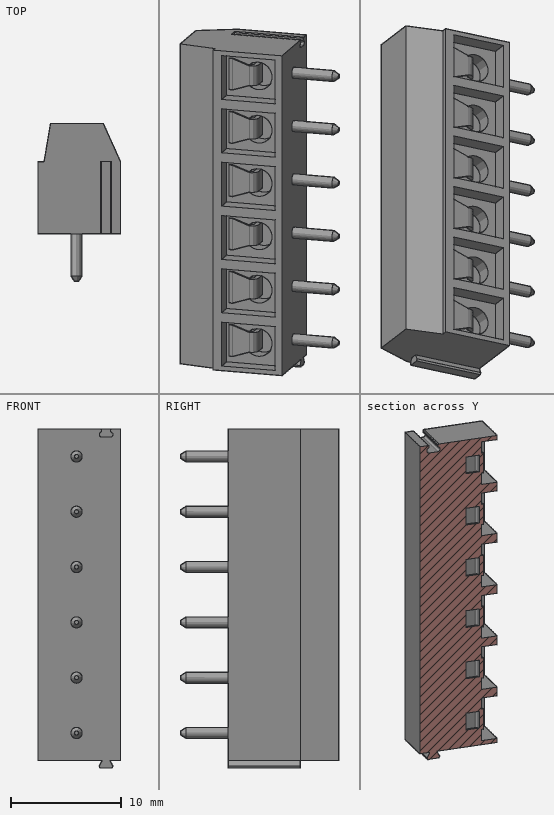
import cadquery as cq

overall_length = 30.68
pole_count = 6
pitch = 5.0
body_length = pole_count * pitch
body_width = 7.5
body_depth = 10.0

shoulder_y = 6.55
shoulder_width = 0.55
top_left_x = 1.15
top_right_x = 5.92

pin_x = 3.5
pin_diameter = 1.0
pin_length = 4.3
pin_tip_length = 0.5
pin_tip_radius = 0.18

pocket_y_min = 0.65
pocket_y_max = 5.7
pocket_height = 4.1
pocket_depth = 1.5

hole_y = 2.7
hole_radius = 1.3
hole_floor_x = 3.0

strip_rise = 0.2
strip_thickness = 0.45
strip_y_max = 5.55
strip_y_min = 2.8
bend_radius = 0.67
strip_wide = 2.95
strip_narrow = 1.85

rail_x = 6.17
rail_neck = 0.75
rail_head = 1.25
rail_foot = 1.1
rail_height = overall_length - body_length
rail_lip = 0.18
groove_neck = 0.83
groove_head = 1.23
groove_depth = 0.75
groove_mouth_chamfer = 0.1
groove_neck_depth = 0.25
groove_flare_depth = 0.43
groove_corner = 0.18


def make_body():
    """Housing block with a step on -X and sloped upper flanks."""
    outline = [
        (0, 0),
        (body_width, 0),
        (body_width, shoulder_y),
        (top_right_x, body_depth),
        (top_left_x, body_depth),
        (shoulder_width, shoulder_y),
        (0, shoulder_y),
    ]
    return cq.Workplane("XY").polyline(outline).close().extrude(body_length)


def extrude_along_y(half_outline):
    """Mirror a right-hand XZ outline about the rail axis and run it up to the shoulder."""
    right = [(rail_x + half, z) for half, z in half_outline]
    left = [(rail_x - half, z) for half, z in reversed(half_outline)]
    return cq.Workplane("XZ").polyline(right + left).close().extrude(-shoulder_y)


def make_rail():
    """Dovetail rail hanging below the body, with its lower edges bevelled inward."""
    return extrude_along_y([
        (rail_neck / 2, 0),
        (rail_head / 2, rail_lip - rail_height),
        (rail_foot / 2, -rail_height),
    ])


def make_groove():
    """Undercut groove with a chamfered mouth and rounded bottom corners, open at the -Y face."""
    groove = extrude_along_y([
        (groove_neck / 2 + groove_mouth_chamfer, body_length),
        (groove_neck / 2, body_length - groove_mouth_chamfer),
        (groove_neck / 2, body_length - groove_neck_depth),
        (groove_head / 2, body_length - groove_flare_depth),
        (groove_head / 2, body_length - groove_depth),
    ])
    return groove.faces("<Z").edges("|Y").fillet(groove_corner)


def make_pin(z):
    """Round pin along -Y with a conical tip."""
    half_profile = [
        (0, 0),
        (pin_diameter / 2, 0),
        (pin_diameter / 2, pin_tip_length - pin_length),
        (pin_tip_radius, -pin_length),
        (0, -pin_length),
    ]
    pin = cq.Workplane("XY").polyline(half_profile).close().revolve(360, (0, 0), (0, 1))
    return pin.translate((pin_x, 0, z))


def make_entry(z):
    """Rectangular pocket and the round wire hole in its floor."""
    pocket = cq.Workplane("XY").box(
        pocket_depth, pocket_y_max - pocket_y_min, pocket_height, centered=(False, False, True)
    ).translate((0, pocket_y_min, z))
    hole = cq.Workplane("YZ").center(hole_y, z).circle(hole_radius).extrude(hole_floor_x)
    return pocket.union(hole)


def make_strip(z):
    """Bent strip: rounded wide end, tapering flat, and a narrow leg running down the hole."""
    face_x = pocket_depth - strip_rise
    back_x = face_x + strip_thickness
    wide_end_y = strip_y_max - strip_thickness
    bend_y = strip_y_min + bend_radius
    inner_radius = bend_radius - strip_thickness
    bend_x = face_x + bend_radius

    side_view = (
        cq.Workplane("XY")
        .moveTo(back_x, strip_y_max)
        .radiusArc((face_x, wide_end_y), -strip_thickness)
        .lineTo(face_x, bend_y)
        .radiusArc((bend_x, strip_y_min), -bend_radius)
        .lineTo(hole_floor_x, strip_y_min)
        .lineTo(hole_floor_x, strip_y_min + strip_thickness)
        .lineTo(bend_x, strip_y_min + strip_thickness)
        .radiusArc((back_x, bend_y), inner_radius)
        .close()
        .extrude(strip_wide / 2, both=True)
    )
    plan = [
        (strip_y_max, strip_wide / 2),
        (wide_end_y, strip_wide / 2),
        (bend_y, strip_narrow / 2),
        (strip_y_min, strip_narrow / 2),
    ]
    mirrored_plan = [(y, -half) for y, half in reversed(plan)]
    blank = cq.Workplane("YZ").polyline(plan + mirrored_plan).close().extrude(hole_floor_x)
    return side_view.intersect(blank).translate((0, 0, z))


result = make_body().union(make_rail()).cut(make_groove())
for pole in range(pole_count):
    pole_z = (pole + 0.5) * pitch
    result = result.cut(make_entry(pole_z)).union(make_strip(pole_z)).union(make_pin(pole_z))